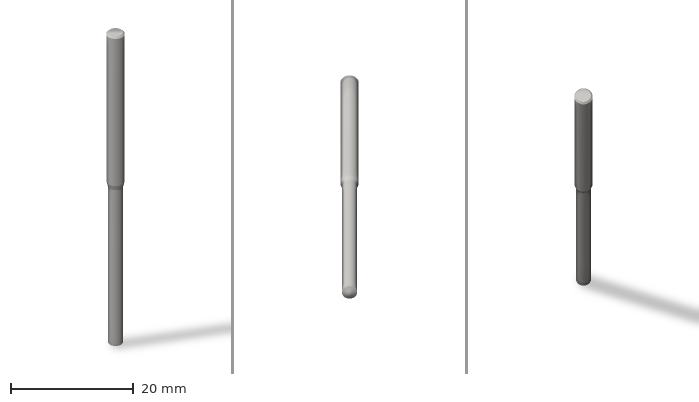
import cadquery as cq
import math

TOTAL_LENGTH = 62.0

CUTTING_DIAMETER = 2.48
CUTTING_LENGTH = 25.0
POINT_ANGLE = 130.0

SHANK_DIAMETER = 3.0
NECK_DIAMETER = 2.48
NECK_LENGTH = 6.5
TAPER_LENGTH = 1.0
TOP_CHAMFER = 0.3

cutting_radius = CUTTING_DIAMETER / 2
shank_radius = SHANK_DIAMETER / 2
neck_radius = NECK_DIAMETER / 2
point_height = cutting_radius / math.tan(math.radians(POINT_ANGLE / 2))
neck_top = CUTTING_LENGTH + NECK_LENGTH
taper_top = neck_top + TAPER_LENGTH


def revolve_about_z(plane, outline):
    """Turn a closed half outline, on the negative side of the axis, about Z."""
    return cq.Workplane(plane).polyline(outline).close().revolve(360, (0, 0, 0), (0, 1, 0))


def make_cutting_section():
    """Plain cylinder ending in the conical point at the origin."""
    return revolve_about_z(
        "XZ",
        [
            (0, 0),
            (-cutting_radius, point_height),
            (-cutting_radius, CUTTING_LENGTH),
            (0, CUTTING_LENGTH),
        ],
    )


def make_shank():
    """Neck, taper and gripping cylinder, with a chamfered top edge."""
    return revolve_about_z(
        "YZ",
        [
            (0, CUTTING_LENGTH),
            (-neck_radius, CUTTING_LENGTH),
            (-neck_radius, neck_top),
            (-shank_radius, taper_top),
            (-shank_radius, TOTAL_LENGTH - TOP_CHAMFER),
            (-shank_radius + TOP_CHAMFER, TOTAL_LENGTH),
            (0, TOTAL_LENGTH),
        ],
    )


cutting_section = make_cutting_section()
shank = make_shank()

result = cq.Compound.makeCompound([cutting_section.val(), shank.val()])